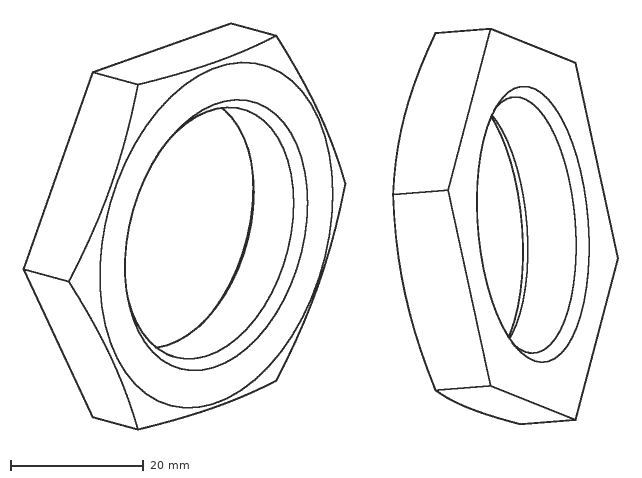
import cadquery as cq
import math

across_corners = 63.5
thickness = 11.0
bore_diameter = 38.9
bore_mouth_diameter = 41.9
bore_chamfer_angle = 45.0
crown_face_diameter = 53.5
crown_depth_at_corners = 1.85

corner_radius = across_corners / 2
bore_radius = bore_diameter / 2
mouth_radius = bore_mouth_diameter / 2
crown_face_radius = crown_face_diameter / 2
bore_chamfer_depth = (mouth_radius - bore_radius) / math.tan(math.radians(bore_chamfer_angle))


def hexagonal_blank():
    """Hexagonal prism with two corners on the Y axis."""
    return cq.Workplane("YZ").polygon(6, across_corners).extrude(thickness)


def crown_envelope():
    """Cylinder through the hexagon corners, coned down towards the +X face."""
    profile = (
        cq.Workplane("XY")
        .lineTo(0, corner_radius)
        .lineTo(thickness - crown_depth_at_corners, corner_radius)
        .lineTo(thickness, crown_face_radius)
        .lineTo(thickness, 0)
        .close()
    )
    return profile.revolve(360, (0, 0, 0), (1, 0, 0))


def chamfered_bore():
    """Through bore with a matching chamfer at each face."""
    profile = (
        cq.Workplane("XY")
        .lineTo(0, mouth_radius)
        .lineTo(bore_chamfer_depth, bore_radius)
        .lineTo(thickness - bore_chamfer_depth, bore_radius)
        .lineTo(thickness, mouth_radius)
        .lineTo(thickness, 0)
        .close()
    )
    return profile.revolve(360, (0, 0, 0), (1, 0, 0))


result = hexagonal_blank().intersect(crown_envelope()).cut(chamfered_bore())